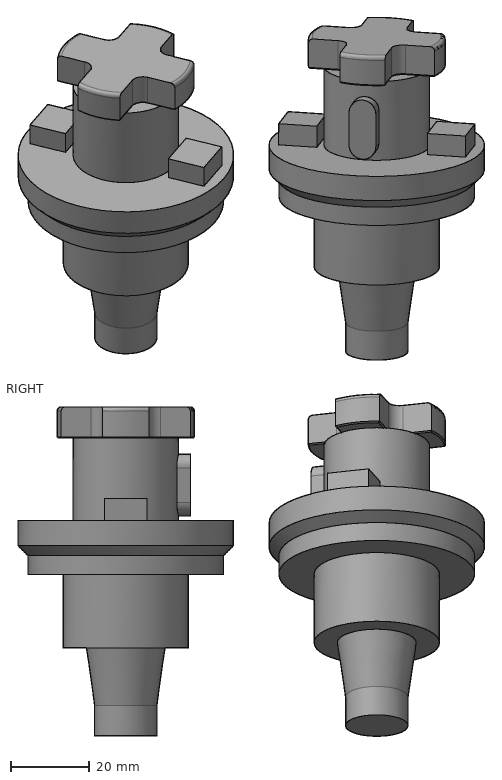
import cadquery as cq

total_height = 84.0
tip_top = 7.7
taper_top = 22.5
flange_bottom = 41.2
flange_top = 55.0
rim_height = 6.5
head_bottom = 76.0

tip_diameter = 16.0
taper_top_diameter = 20.2
barrel_diameter = 32.0
flange_lower_diameter = 50.0
flange_diameter = 55.0
neck_diameter = 27.0

head_diameter = 35.0
arm_width = 11.85
arm_corner_radius = 2.9
head_top_radius = 1.1
corner_reach = 0.8
head_bottom_chamfer = 0.3
head_height = total_height - head_bottom

lug_inner_x = 14.45
lug_outer_x = 24.45
lug_width = 10.9
lug_height = 5.6

key_width = 7.0
key_length = 15.8
key_thickness = 7.0
key_outer_y = 16.55
key_bottom = 56.1


def make_turned_shaft():
    """Tip, taper, barrel, bevelled flange and neck as one revolved profile."""
    rim_bottom = flange_top - rim_height
    bevel = (flange_diameter - flange_lower_diameter) / 2
    profile = [
        (0, 0),
        (tip_diameter / 2, 0),
        (tip_diameter / 2, tip_top),
        (taper_top_diameter / 2, taper_top),
        (barrel_diameter / 2, taper_top),
        (barrel_diameter / 2, flange_bottom),
        (flange_lower_diameter / 2, flange_bottom),
        (flange_lower_diameter / 2, rim_bottom - bevel),
        (flange_diameter / 2, rim_bottom),
        (flange_diameter / 2, flange_top),
        (neck_diameter / 2, flange_top),
        (neck_diameter / 2, head_bottom),
        (0, head_bottom),
    ]
    return cq.Workplane("XZ").polyline(profile).close().revolve(360, (0, 0), (0, 1))


def make_head():
    """Four-armed cross trimmed by a disc with a rounded top rim, chamfered all round underneath."""
    base = cq.Workplane("XY").workplane(offset=head_bottom)
    disc = base.circle(head_diameter / 2).extrude(head_height)
    disc = disc.faces(">Z").edges().fillet(head_top_radius)
    arm_x = base.rect(head_diameter, arm_width).extrude(head_height)
    arm_y = base.rect(arm_width, head_diameter).extrude(head_height)
    reach = arm_width / 2 + corner_reach
    inner_corners = cq.selectors.BoxSelector(
        (-reach, -reach, 0), (reach, reach, total_height)
    )
    cross = arm_x.union(arm_y).edges("|Z").edges(inner_corners).fillet(arm_corner_radius)
    head = cross.intersect(disc)
    return head.faces("<Z").edges().chamfer(head_bottom_chamfer)


def make_lugs():
    """Two rectangular lugs on opposite sides of the neck."""
    lug_x = (lug_inner_x + lug_outer_x) / 2
    return (
        cq.Workplane("XY")
        .workplane(offset=flange_top)
        .pushPoints([(-lug_x, 0), (lug_x, 0)])
        .rect(lug_outer_x - lug_inner_x, lug_width)
        .extrude(lug_height)
    )


def make_key():
    """Upright key with full-round ends."""
    return (
        cq.Workplane("XZ", origin=(0, key_outer_y, key_bottom + key_length / 2))
        .slot2D(key_length, key_width, 90)
        .extrude(key_thickness)
    )


key = make_key()

spindle = make_turned_shaft().union(make_head()).union(make_lugs()).cut(key)

result = cq.Compound.makeCompound([*spindle.solids().vals(), key.val()])